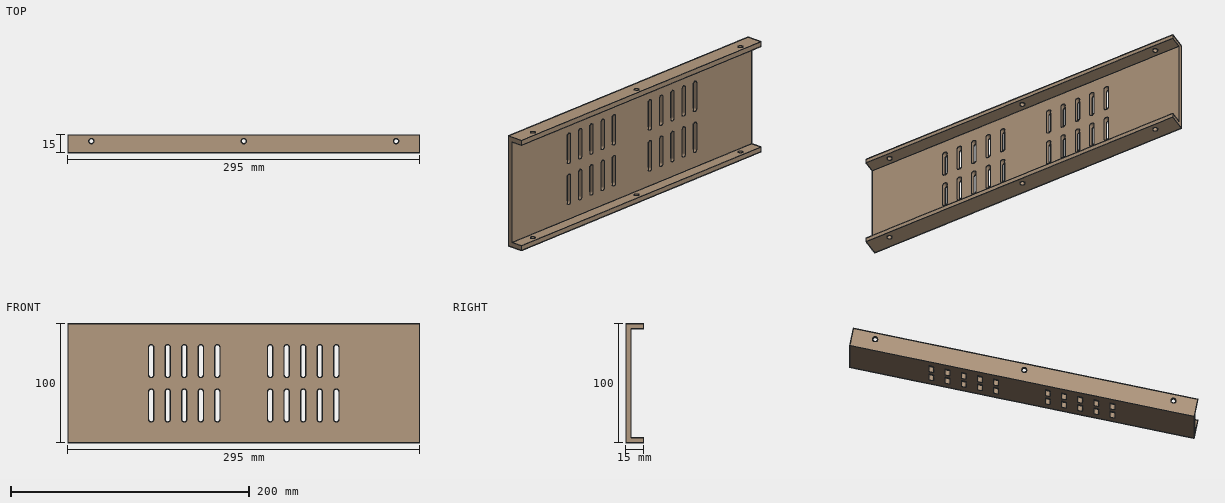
import cadquery as cq

length = 295.0
depth = 15.0
height = 100.0
wall = 4.5

slot_width = 4.0
slot_length = 27.5
slot_pitch = 14.0
slots_per_row = 5
bank_inner_offset = 22.0
row_offset = 18.5

hole_diameter = 4.0
hole_spacing = 127.7
hole_edge_distance = 5.3


def make_channel():
    """C-section open toward +Y, with its front face on Y = 0."""
    body = cq.Workplane("XY").box(length, depth, height, centered=(True, False, True))
    cavity = (
        cq.Workplane("XY")
        .box(length, depth - wall, height - 2 * wall, centered=(True, False, True))
        .translate((0, wall, 0))
    )
    return body.cut(cavity)


def make_slots():
    """Vertical round-ended cutters through the front plate."""
    centres = []
    for side in (-1, 1):
        for row in (-1, 1):
            for i in range(slots_per_row):
                x = side * (bank_inner_offset + i * slot_pitch)
                centres.append((x, row * row_offset))
    return (
        cq.Workplane("XZ")
        .pushPoints(centres)
        .slot2D(slot_length, slot_width, 90)
        .extrude(-wall)
    )


def make_screw_holes():
    """Vertical cutters running through both flanges."""
    hole_y = depth - hole_edge_distance
    return (
        cq.Workplane("XY")
        .workplane(offset=-height / 2)
        .pushPoints([(i * hole_spacing, hole_y) for i in (-1, 0, 1)])
        .circle(hole_diameter / 2)
        .extrude(height)
    )


result = make_channel().cut(make_slots()).cut(make_screw_holes())